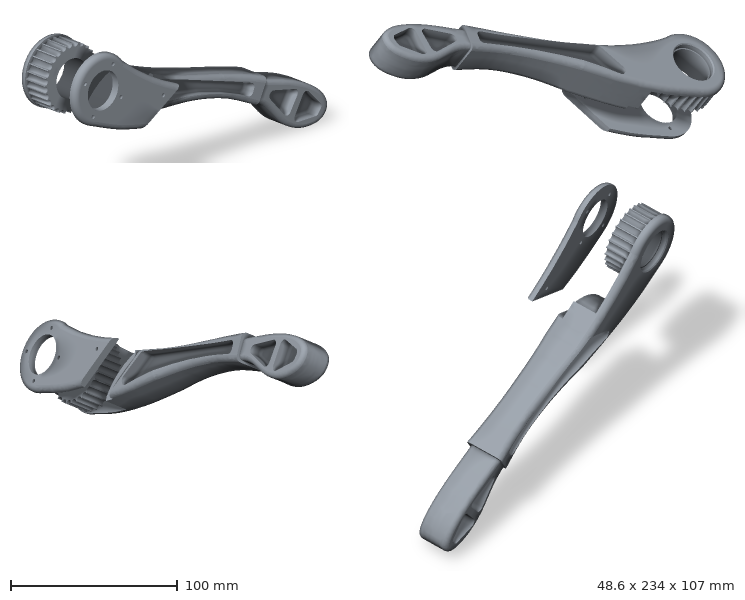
import cadquery as cq
import math

head_radius = 23.0
bore_diameter = 25.3
recess_diameter = 27.1
recess_depth = 4.0
recess_chamfer = 0.7

handle_width = 26.2
plate_thickness = 5.0
core_end_x = handle_width - plate_thickness
edge_fillet = 3.5

upper_head_joint_y = 18.2
upper_head_joint = (upper_head_joint_y, math.sqrt(head_radius**2 - upper_head_joint_y**2))
upper_curve = [(41.0, -2.3), (67.4, -15.2), (112.3, -28.0)]
shoulder_top = (157.6, -40.7)
shoulder_bottom = (150.5, -57.5)
lower_curve = [(130.7, -48.9), (114.0, -44.0), (97.0, -41.0), (71.5, -38.5), (33.7, -34.4), (12.5, -29.2)]
lower_head_joint_y = -8.0
lower_head_joint = (lower_head_joint_y, -math.sqrt(head_radius**2 - lower_head_joint_y**2))
lower_curve_start_direction = (-0.92, 0.4)
lower_curve_end_direction = (lower_head_joint[1], -lower_head_joint_y)

waist_depth = 2.0
waist_y = 124.0
waist_start_y = 74.8
waist_end_y = 157.9

joint_top = (63.2, -15.2)
joint_bottom = (33.0, -34.4)

core_end_top = (53.3, -10.8)
core_end_middle = (40.7, -16.4)
core_end_corner = (27.4, -29.7)
core_end_bottom = (26.0, -34.1)

gear_radius = 22.0
groove_count = 28
groove_diameter = 4.2
groove_phase = 4.5

grip_start_x = 2.0
grip_width = 21.3
grip_fillet = 2.8
grip_root_top = (154.4, -42.5)
grip_root_bottom = (149.7, -55.7)
grip_upper_curve = [(168.9, -46.5), (185.7, -52.0), (198.5, -58.2), (207.0, -65.0)]
grip_tip = (211.0, -73.7)
grip_lower_curve = [(207.0, -81.0), (196.5, -84.0), (185.7, -82.5), (173.0, -75.3), (160.5, -62.0)]

grip_pocket_depth = 8.2
long_pocket_depth = 9.4
pocket_corner = 3.0
pocket_floor_fillet = 1.6
tip_pocket = [(191.3, -57.8), (180.0, -78.0), (201.1, -78.1), (205.5, -72.5)]
root_pocket = [(186.9, -56.8), (156.2, -50.0), (176.8, -73.5)]
long_pocket_upper = [(148.5, -42.3), (65.0, -16.5)]
long_pocket_lower = [(46.0, -27.8), (48.0, -33.2), (98.2, -36.7), (145.5, -50.8)]

cover_outer_x = 48.6
screw_hole_diameter = 2.5
screw_circle_radius = 16.8
screw_hole_phase = 61.0
screw_hole_count = 4
joint_screw_position = (49.8, -16.5)

reach = 140.3


def profile(x):
    """Sketch plane whose local axes are Y and Z, at the given X."""
    return cq.Workplane("YZ", origin=(x, 0, 0))


def handle_outline(x):
    return (
        profile(x)
        .moveTo(*upper_head_joint)
        .spline(upper_curve + [shoulder_top], includeCurrent=True)
        .lineTo(*shoulder_bottom)
        .spline(
            lower_curve + [lower_head_joint],
            tangents=[lower_curve_start_direction, lower_curve_end_direction],
            includeCurrent=True,
        )
        .threePointArc((-head_radius, 0), upper_head_joint)
        .close()
    )


def head_side_of_joint(x, length):
    """Everything on the head side of the slanted joint line."""
    run_y = joint_top[0] - joint_bottom[0]
    run_z = joint_top[1] - joint_bottom[1]
    above = (joint_top[0] + run_y, joint_top[1] + run_z)
    below = (joint_bottom[0] - run_y, joint_bottom[1] - run_z)
    corners = [above, below, (-reach, below[1]), (-reach, reach), (above[0], reach)]
    return profile(x).polyline(corners).close().extrude(length)


def cut_waist(body):
    """Hollow both sides with two arcs that meet smoothly at the waist."""
    middle_depth = 3 / 4 * waist_depth
    near_middle = (middle_depth, (waist_start_y + waist_y) / 2)
    far_middle = (middle_depth, (waist_end_y + waist_y) / 2)
    clear_x = -waist_depth
    side = (
        cq.Workplane("XY", origin=(0, 0, -reach))
        .moveTo(0, waist_start_y)
        .threePointArc(near_middle, (waist_depth, waist_y))
        .threePointArc(far_middle, (0, waist_end_y))
        .lineTo(clear_x, waist_end_y)
        .lineTo(clear_x, waist_start_y)
        .close()
        .extrude(2 * reach)
    )
    other_side = side.mirror("YZ").translate((handle_width, 0, 0))
    return body.cut(side).cut(other_side)


def grip_pocket(corners):
    """Cutter with rounded corners, sunk from the -X side of the grip."""
    blank = profile(grip_start_x).polyline(corners).close().extrude(grip_pocket_depth)
    return blank.edges("|X").fillet(pocket_corner)


def long_pocket():
    """Cutter with rounded corners, sunk from the -X side of the handle."""
    return (
        profile(0)
        .polyline(long_pocket_upper + long_pocket_lower[:2])
        .threePointArc(*long_pocket_lower[2:])
        .close()
        .extrude(long_pocket_depth)
        .edges("|X")
        .fillet(pocket_corner)
    )


def cut_pocket_pair(body, cutter, middle_x):
    """Cut the pocket and its mirror image about the plane X = middle_x."""
    rounded = cutter.faces(">X").edges().fillet(pocket_floor_fillet)
    return body.cut(rounded).cut(rounded.mirror("YZ").translate((2 * middle_x, 0, 0)))


def make_grip():
    grip = (
        profile(grip_start_x)
        .moveTo(*grip_root_top)
        .spline(grip_upper_curve + [grip_tip] + grip_lower_curve + [grip_root_bottom], includeCurrent=True)
        .close()
        .extrude(grip_width)
    )
    grip = grip.edges("<X or >X").edges("not(%LINE)").fillet(grip_fillet)
    for corners in (tip_pocket, root_pocket):
        grip = cut_pocket_pair(grip, grip_pocket(corners), grip_start_x + grip_width / 2)
    return grip


def make_gear():
    gear = profile(plate_thickness).circle(gear_radius).extrude(core_end_x - plate_thickness)
    grooves = (
        profile(plate_thickness)
        .polarArray(gear_radius, groove_phase, 360, groove_count)
        .circle(groove_diameter / 2)
        .extrude(core_end_x - plate_thickness)
    )
    return gear.cut(grooves)


def stepped_bore():
    """Cutter for the bore, its wider recess in the plate and the chamfered mouth."""
    bore_radius = bore_diameter / 2
    recess_radius = recess_diameter / 2
    half_section = [
        (0, 0),
        (0, recess_radius + recess_chamfer),
        (recess_chamfer, recess_radius),
        (recess_depth, recess_radius),
        (recess_depth, bore_radius),
        (core_end_x, bore_radius),
        (core_end_x, 0),
    ]
    return cq.Workplane("XY").polyline(half_section).close().revolve(360, (0, 0, 0), (1, 0, 0))


def make_handle():
    core_half_width = core_end_x - handle_width / 2
    shoulder_clearance = (shoulder_top[0] - shoulder_bottom[0]) / 2
    body = cut_waist(handle_outline(0).extrude(handle_width))
    shoulder_y = (shoulder_top[0] + shoulder_bottom[0]) / 2
    rim = [
        edge
        for edge in body.edges().vals()
        if abs(edge.Center().x - handle_width / 2) > core_half_width
        and abs(edge.Center().y - shoulder_y) > shoulder_clearance
    ]
    body = body.newObject(rim).fillet(edge_fillet)

    gear_space = (
        profile(plate_thickness)
        .moveTo(*core_end_top)
        .threePointArc(core_end_middle, core_end_corner)
        .lineTo(*core_end_bottom)
        .lineTo(core_end_bottom[0], -reach)
        .lineTo(-reach, -reach)
        .lineTo(-reach, reach)
        .lineTo(core_end_top[0], reach)
        .close()
        .extrude(core_end_x - plate_thickness)
    )
    body = body.cut(gear_space).cut(head_side_of_joint(core_end_x, plate_thickness))

    body = cut_pocket_pair(body, long_pocket(), handle_width / 2)
    body = body.union(make_grip()).union(make_gear())

    return body.cut(stepped_bore())


def make_cover():
    inner_x = cover_outer_x - plate_thickness
    cover = handle_outline(inner_x).extrude(plate_thickness)
    cover = cover.faces(">X").edges().fillet(edge_fillet)
    cover = cover.intersect(head_side_of_joint(inner_x, plate_thickness))
    cover = cover.cut(profile(inner_x).circle(bore_diameter / 2).extrude(plate_thickness))
    screw_holes = (
        profile(inner_x)
        .polarArray(screw_circle_radius, screw_hole_phase, 360, screw_hole_count)
        .circle(screw_hole_diameter / 2)
        .extrude(plate_thickness)
    )
    joint_screw_hole = (
        profile(inner_x)
        .center(*joint_screw_position)
        .circle(screw_hole_diameter / 2)
        .extrude(plate_thickness)
    )
    return cover.cut(screw_holes).cut(joint_screw_hole)


handle = make_handle()
cover = make_cover()
result = cq.Compound.makeCompound([handle.val(), cover.val()])